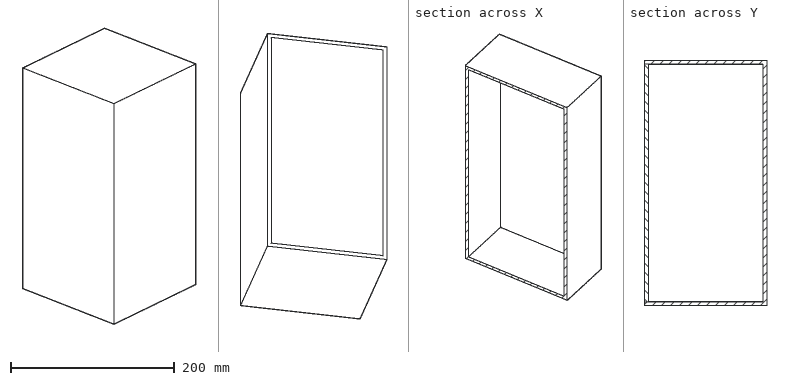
import cadquery as cq

width = 150.0
depth = 150.0
height = 300.0
wall = 5.0

door_thickness = wall
opening_depth = depth - 2 * wall
opening_height = height - 2 * wall

rim_x = -width / 2


def block_from_rim(length, block_depth, block_height):
    """Box that starts at the plane of the rim and runs toward +X, centred in Y and Z."""
    block = cq.Workplane("XY").box(length, block_depth, block_height, centered=(False, True, True))
    return block.translate((rim_x, 0, 0))


def make_housing():
    """Five-walled box with one cavity, closed on the +X side."""
    outer = block_from_rim(width, depth, height)
    cavity = block_from_rim(width - wall, opening_depth, opening_height)
    return outer.cut(cavity)


def make_door():
    """Panel that closes the cavity on the -X side."""
    return block_from_rim(door_thickness, opening_depth, opening_height)


housing = make_housing()
door = make_door()

result = cq.Compound.makeCompound([housing.val(), door.val()])